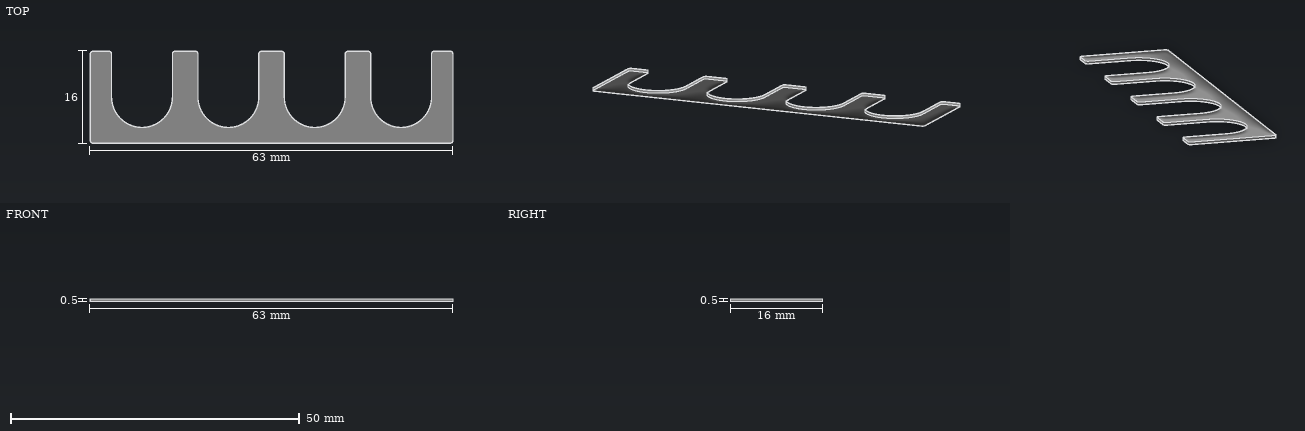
import cadquery as cq

length = 63.0
depth = 16.0
thickness = 0.5
corner_radius = 0.5

slot_count = 4
slot_pitch = 15.0
slot_width = 10.5
slot_depth = 13.2

slot_radius = slot_width / 2
slot_centre_y = depth / 2 - slot_depth + slot_radius


def slot_cutter(centre_x):
    """U-shaped slot running from its round bottom out through the +Y edge."""
    straight_length = depth / 2 - slot_centre_y
    return (
        cq.Workplane("XY")
        .moveTo(centre_x - slot_radius, slot_centre_y)
        .threePointArc(
            (centre_x, slot_centre_y - slot_radius),
            (centre_x + slot_radius, slot_centre_y),
        )
        .vLine(straight_length)
        .hLine(-slot_width)
        .close()
        .extrude(thickness)
    )


plate = cq.Workplane("XY").rect(length, depth).extrude(thickness)

first_slot_x = -slot_pitch * (slot_count - 1) / 2
for index in range(slot_count):
    plate = plate.cut(slot_cutter(first_slot_x + index * slot_pitch))

tip_edges = plate.faces(">Y").edges("|Z")
base_edges = plate.faces("<Y").edges("|Z")
result = tip_edges.add(base_edges).fillet(corner_radius)